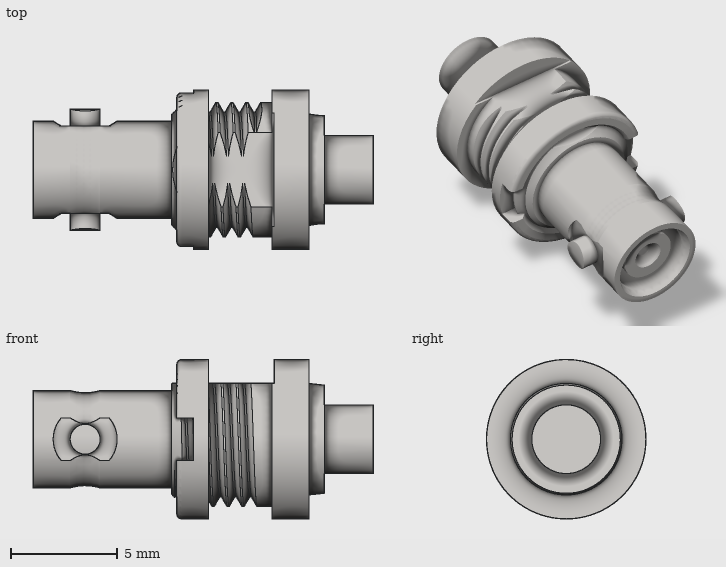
import cadquery as cq
import math


total_length = 16.0
sleeve_radius = 2.29
thread_radius = 3.17
flange_radius = 3.752
tail_radius = 1.62
shoulder_x = 6.51
shoulder_radius = 2.6
flange_front_x = 11.23
flange_back_x = 12.98
taper_end_x = 13.7
taper_front_radius = 2.62
taper_back_radius = 2.55

thread_pitch = 0.7
root_radius = 2.72
root_width = 0.1
flank_angle = 30.0
last_root_x = 10.22
turns_before = 6
runout_angle = 116.0
cutter_margin = 0.08

flat_height = 2.64
flat_step = 0.1

pin_x = 2.45
pin_radius = 0.7
pin_reach = 2.85
spot_face_height = 2.056
spot_face_radius = 1.5
groove_depth = 0.104

mouth_radius = 1.97
bore_radius = 1.8
mouth_depth = 0.46
bore_depth = 3.52
insulator_radius = 1.28
insulator_recess = 0.6
contact_radius = 0.32
contact_depth = 1.92
contact_tip_depth = 0.2
countersink_radius = pin_radius

nut_front_x = 6.75
nut_back_x = 8.25
nut_bore_radius = 2.78
nut_mouth_radius = 3.15
nut_fillet = 0.24
nut_slot_width = 1.98
nut_slot_depth = 0.8


def disc(radius, start_x, end_x):
    """Solid cylinder on the X axis."""
    return cq.Workplane("YZ", origin=(start_x, 0, 0)).circle(radius).extrude(end_x - start_x)


def cone(start_radius, end_radius, start_x, end_x):
    """Solid frustum on the X axis."""
    solid = cq.Solid.makeCone(
        start_radius, end_radius, end_x - start_x, cq.Vector(start_x, 0, 0), cq.Vector(1, 0, 0)
    )
    return cq.Workplane(solid)


def turned_body():
    lead_in_end_x = shoulder_x + thread_radius - shoulder_radius
    outline = (
        cq.Workplane("XZ")
        .lineTo(0, sleeve_radius)
        .lineTo(pin_x - pin_radius, sleeve_radius)
        .threePointArc((pin_x, sleeve_radius - groove_depth), (pin_x + pin_radius, sleeve_radius))
        .lineTo(shoulder_x, sleeve_radius)
        .lineTo(shoulder_x, shoulder_radius)
        .lineTo(lead_in_end_x, thread_radius)
        .lineTo(flange_front_x, thread_radius)
        .lineTo(flange_front_x, flange_radius)
        .lineTo(flange_back_x, flange_radius)
        .lineTo(flange_back_x, taper_front_radius)
        .lineTo(taper_end_x, taper_back_radius)
        .lineTo(taper_end_x, tail_radius)
        .lineTo(total_length, tail_radius)
        .lineTo(total_length, 0)
        .close()
    )
    return outline.revolve(360, (0, 0, 0), (1, 0, 0))


def socket():
    """Space around the insulator, and the contact hole in the insulator."""
    mouth = cone(mouth_radius, bore_radius, 0, mouth_depth)
    bore = disc(bore_radius, mouth_depth, bore_depth)
    insulator = disc(insulator_radius, insulator_recess, bore_depth)
    countersink_end_x = insulator_recess + countersink_radius - contact_radius
    countersink = cone(countersink_radius, contact_radius, insulator_recess, countersink_end_x)
    contact_end_x = countersink_end_x + contact_depth
    contact = disc(contact_radius, countersink_end_x, contact_end_x)
    contact_tip = cone(contact_radius, 0, contact_end_x, contact_end_x + contact_tip_depth)
    ring = mouth.union(bore).cut(insulator)
    return ring.union(countersink).union(contact).union(contact_tip)


def spot_face(side):
    """Round counterbore that leaves a flat on the sleeve around one pin."""
    floor = cq.Vector(pin_x, side * spot_face_height, 0)
    depth = pin_reach - spot_face_height
    return cq.Workplane(cq.Solid.makeCylinder(spot_face_radius, depth, floor, cq.Vector(0, side, 0)))


def bayonet_pin(side):
    """One pin, from the bore wall to an outer end rounded about the X axis."""
    inner_end = (bore_radius + spot_face_height) / 2
    centre = cq.Vector(pin_x, side * inner_end, 0)
    pin = cq.Solid.makeCylinder(pin_radius, pin_reach - inner_end, centre, cq.Vector(0, side, 0))
    reach = disc(pin_reach, 0, shoulder_x)
    bore = disc(bore_radius, 0, shoulder_x)
    return cq.Workplane(pin).intersect(reach).cut(bore)


def groove_section(plane):
    """Trapezoid of the thread groove, in a plane whose x is radial and y is axial."""
    outer_radius = thread_radius + cutter_margin
    half_root = root_width / 2
    half_top = half_root + (outer_radius - root_radius) * math.tan(math.radians(flank_angle))
    return (
        cq.Workplane(plane)
        .moveTo(root_radius, -half_root)
        .lineTo(outer_radius, -half_top)
        .lineTo(outer_radius, half_top)
        .lineTo(root_radius, half_root)
        .close()
    )


def thread_cutters():
    """Helical groove and its straight run-out, turned from the Z axis onto X."""
    length = (turns_before + runout_angle / 360) * thread_pitch
    helix = cq.Workplane(cq.Wire.makeHelix(thread_pitch, length, root_radius))
    helical = groove_section(cq.Plane.named("XZ")).sweep(helix, isFrenet=True)

    angle = math.radians(runout_angle)
    radial = (math.cos(angle), math.sin(angle), 0)
    tangent = cq.Vector(-math.sin(angle), math.cos(angle), 0)
    end_plane = cq.Plane(origin=(0, 0, length), xDir=radial, normal=(-tangent).toTuple())
    runout = groove_section(end_plane).extrude(-thread_radius)

    start_x = last_root_x - turns_before * thread_pitch
    return [
        cutter.rotate((0, 0, 0), (0, 1, 0), 90).translate((start_x, 0, 0))
        for cutter in (helical, runout)
    ]


def top_flat():
    end_x = flange_front_x + flat_step
    return cq.Workplane("XY").box(
        end_x - shoulder_x, 2 * flange_radius, flange_radius, centered=(False, True, False)
    ).translate((shoulder_x, 0, flat_height))


def nut():
    ring = disc(flange_radius, nut_front_x, nut_back_x).faces("<X").edges().fillet(nut_fillet)
    ring = ring.cut(disc(nut_bore_radius, nut_front_x, nut_back_x))
    countersink_end_x = nut_front_x + nut_mouth_radius - nut_bore_radius
    ring = ring.cut(cone(nut_mouth_radius, nut_bore_radius, nut_front_x, countersink_end_x))
    slot = cq.Workplane("XY").box(
        nut_slot_depth, 2 * flange_radius, nut_slot_width, centered=(False, True, True)
    )
    return ring.cut(slot.translate((nut_front_x, 0, 0)))


body = turned_body().cut(socket())
for thread_cutter in thread_cutters():
    body = body.cut(thread_cutter)
body = body.cut(top_flat())
for side in (-1, 1):
    body = body.cut(spot_face(side)).union(bayonet_pin(side))
result = body.union(nut())